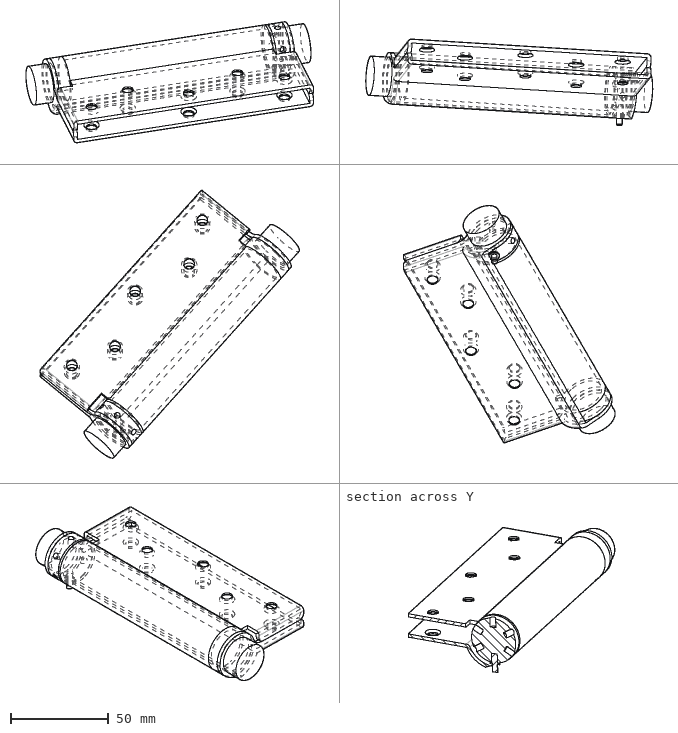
import cadquery as cq
import math


SHEET = 2.1
LEAF_HALF_LENGTH = 63.6
LEAF_REACH = 47.5
LEAF_OUTER_Z = 6.7
FLANGE_CORNER_RADIUS = 3.0
FLANGE_INNER_Y = LEAF_HALF_LENGTH - SHEET
LEAF_INNER_Z = LEAF_OUTER_Z - SHEET

BARREL_RADIUS = 12.5
BORE_RADIUS = BARREL_RADIUS - SHEET
TUBE_START_Y = -55.1
TUBE_END_Y = 52.6
RING_START_Y = 54.0

NOTCH_REACH = 15.5

LIP_OUTER_RADIUS = 16.5
LIP_INNER_RADIUS = LIP_OUTER_RADIUS - SHEET
LIP_TANGENT_ANGLE = math.radians(-115)
FLANGE_BLEND_RADIUS = 6.4

CAP_RADIUS = 10.1
CAP_HALF_SPAN = 74.1
DOME_HEIGHT = 1.3

RING_HOLE_COUNT = 6
RING_TURN = 2.6
PIN_INDEX = 3
PIN_RADIUS = 1.5
PIN_TIP_RADIUS = 17.6
HOLE_FLOOR_RADIUS = 7.4
PIN_COLLAR_RADIUS = 2.7
PIN_COLLAR_THICKNESS = 0.7
RING_MIDDLE_Y = (RING_START_Y + FLANGE_INNER_Y) / 2

SCREW_HOLE_DIAMETER = 5.5
SCREW_HOLE_RADIUS = SCREW_HOLE_DIAMETER / 2
SCREW_HOLE_LAND = 0.9
OUTER_HOLE_Y = 51.1
INNER_HOLE_Y = 29.0
OUTER_HOLE_X = 36.8
INNER_HOLE_X = 26.7
MIDDLE_HOLE_X = 38.1
SCREW_HOLES = [
    (OUTER_HOLE_X, OUTER_HOLE_Y),
    (INNER_HOLE_X, INNER_HOLE_Y),
    (MIDDLE_HOLE_X, 0),
    (INNER_HOLE_X, -INNER_HOLE_Y),
    (OUTER_HOLE_X, -OUTER_HOLE_Y),
]


def section(y_end):
    """XZ sketch plane at y_end; extruding from it runs toward -Y."""
    return cq.Workplane("XZ", origin=(0, y_end, 0))


def disc(radius, y_start, y_end):
    """Cylinder on the barrel axis."""
    return section(y_end).circle(radius).extrude(y_end - y_start)


def block(x_range, y_range, z_range):
    """Box spanning the given ranges."""
    (x0, x1), (y0, y1), (z0, z1) = x_range, y_range, z_range
    return cq.Workplane("XY").box(x1 - x0, y1 - y0, z1 - z0, centered=False).translate((x0, y0, z0))


def polar(radius, angle):
    """Point in XZ at the given distance and angle (radians) from the barrel axis."""
    return (radius * math.cos(angle), radius * math.sin(angle))


def drill_screw_holes(leaf, side):
    """Cut the countersunk holes; side is 1 for the leaf at +Z and -1 for the leaf at -Z."""
    countersink_depth = SHEET - SCREW_HOLE_LAND
    countersink_radius = SCREW_HOLE_RADIUS + countersink_depth
    drill = (
        cq.Workplane("XZ")
        .moveTo(0, side * LEAF_INNER_Z)
        .lineTo(countersink_radius, side * LEAF_INNER_Z)
        .lineTo(SCREW_HOLE_RADIUS, side * (LEAF_INNER_Z + countersink_depth))
        .lineTo(SCREW_HOLE_RADIUS, side * LEAF_OUTER_Z)
        .lineTo(0, side * LEAF_OUTER_Z)
        .close()
        .revolve(360, (0, 0, 0), (0, 1, 0))
    )
    for x, y in SCREW_HOLES:
        leaf = leaf.cut(drill.translate((x, y, 0)))
    return leaf


def lip_end_point(radius):
    """Point at the given radius on the sloped line that leaves the barrel circle at a tangent."""
    return polar(radius, LIP_TANGENT_ANGLE + math.acos(BARREL_RADIUS / radius))


LIP_ROOT_ANGLE = -math.asin(LEAF_OUTER_Z / LIP_OUTER_RADIUS)
LIP_ROOT = polar(LIP_OUTER_RADIUS, LIP_ROOT_ANGLE)
LIP_END_ANGLE = LIP_TANGENT_ANGLE + math.acos(BARREL_RADIUS / LIP_OUTER_RADIUS)
LIP_MIDDLE_ANGLE = (LIP_ROOT_ANGLE + LIP_END_ANGLE) / 2
LIP_OUTER_MIDDLE = polar(LIP_OUTER_RADIUS, LIP_MIDDLE_ANGLE)


def lower_sheet():
    """Flat plate and curved lip, one sheet bent around the corner at the lip root."""
    bend_start = polar(LIP_INNER_RADIUS, LIP_ROOT_ANGLE)
    bend_middle_angle = (math.pi / 2 + math.pi + LIP_ROOT_ANGLE) / 2
    bend_dx, bend_dz = polar(SHEET, bend_middle_angle)
    return (
        section(LEAF_HALF_LENGTH)
        .moveTo(*lip_end_point(LIP_OUTER_RADIUS))
        .threePointArc(LIP_OUTER_MIDDLE, LIP_ROOT)
        .lineTo(LEAF_REACH, -LEAF_OUTER_Z)
        .lineTo(LEAF_REACH, -LEAF_INNER_Z)
        .lineTo(LIP_ROOT[0], -LEAF_INNER_Z)
        .threePointArc((LIP_ROOT[0] + bend_dx, LIP_ROOT[1] + bend_dz), bend_start)
        .threePointArc(polar(LIP_INNER_RADIUS, LIP_MIDDLE_ANGLE), lip_end_point(LIP_INNER_RADIUS))
        .close()
        .extrude(2 * LEAF_HALF_LENGTH)
    )


def lower_flange(y_end):
    """End flange: an eye around the barrel end that blends into the leaf."""
    blend_distance = BARREL_RADIUS + FLANGE_BLEND_RADIUS
    blend_x = math.sqrt(blend_distance**2 - FLANGE_BLEND_RADIUS**2)
    eye_angle = math.atan2(FLANGE_BLEND_RADIUS, blend_x)
    blend_dx, blend_dz = polar(FLANGE_BLEND_RADIUS, (eye_angle - math.pi - math.pi / 2) / 2)
    eye_middle_angle = (eye_angle + LIP_TANGENT_ANGLE) / 2 + math.pi
    corner_drop = FLANGE_CORNER_RADIUS * (1 - math.sqrt(0.5))
    return (
        section(y_end)
        .moveTo(*polar(BARREL_RADIUS, LIP_TANGENT_ANGLE))
        .lineTo(*lip_end_point(LIP_OUTER_RADIUS))
        .threePointArc(LIP_OUTER_MIDDLE, LIP_ROOT)
        .lineTo(LEAF_REACH, -LEAF_OUTER_Z)
        .lineTo(LEAF_REACH, -FLANGE_CORNER_RADIUS)
        .threePointArc((LEAF_REACH - corner_drop, -corner_drop), (LEAF_REACH - FLANGE_CORNER_RADIUS, 0))
        .lineTo(blend_x, 0)
        .threePointArc((blend_x + blend_dx, FLANGE_BLEND_RADIUS + blend_dz), polar(BARREL_RADIUS, eye_angle))
        .threePointArc(polar(BARREL_RADIUS, eye_middle_angle), polar(BARREL_RADIUS, LIP_TANGENT_ANGLE))
        .close()
        .extrude(SHEET)
    )


def make_lower_leaf():
    leaf = lower_sheet()
    leaf = leaf.union(lower_flange(LEAF_HALF_LENGTH)).union(lower_flange(SHEET - LEAF_HALF_LENGTH))
    plate_middle_x = (LIP_ROOT[0] + LEAF_REACH) / 2
    for end in (-1, 1):
        y = end * LEAF_HALF_LENGTH
        plate_edge = cq.selectors.NearestToPointSelector((plate_middle_x, y, -LEAF_OUTER_Z))
        lip_edge = cq.selectors.NearestToPointSelector((LIP_OUTER_MIDDLE[0], y, LIP_OUTER_MIDDLE[1]))
        leaf = leaf.edges(plate_edge + lip_edge).fillet(SHEET)
    leaf = leaf.cut(disc(CAP_RADIUS, -LEAF_HALF_LENGTH, LEAF_HALF_LENGTH))
    return drill_screw_holes(leaf, -1)


def upper_flange(y_start):
    """Downturned end flange with two rounded lower corners."""
    flange = block((NOTCH_REACH, LEAF_REACH), (y_start, y_start + SHEET), (0, LEAF_OUTER_Z))
    return flange.edges("|Y and <Z").fillet(FLANGE_CORNER_RADIUS)


def make_upper_leaf():
    tube_joint_x = math.sqrt(BARREL_RADIUS**2 - LEAF_OUTER_Z**2)
    sheet_z = (LEAF_INNER_Z, LEAF_OUTER_Z)
    full_length = (-LEAF_HALF_LENGTH, LEAF_HALF_LENGTH)
    leaf = block((NOTCH_REACH, LEAF_REACH), full_length, sheet_z)
    leaf = leaf.union(upper_flange(FLANGE_INNER_Y)).union(upper_flange(-LEAF_HALF_LENGTH))
    leaf = leaf.faces(">Z").edges("<Y or >Y").fillet(SHEET)

    tongue = block((tube_joint_x, NOTCH_REACH), (TUBE_START_Y, TUBE_END_Y), sheet_z)
    tube = disc(BARREL_RADIUS, TUBE_START_Y, TUBE_END_Y)
    bore = disc(BORE_RADIUS, TUBE_START_Y, TUBE_END_Y)
    leaf = leaf.union(tongue).union(tube).cut(bore)
    return drill_screw_holes(leaf, 1)


def make_core():
    """Spindle inside the tube with a full-size shoulder at each end."""
    core = disc(BORE_RADIUS, TUBE_START_Y, TUBE_END_Y)
    lower_shoulder = disc(BARREL_RADIUS, -FLANGE_INNER_Y, TUBE_START_Y)
    upper_shoulder = disc(BARREL_RADIUS, TUBE_END_Y, RING_START_Y)
    return core.union(lower_shoulder).union(upper_shoulder)


def radial_rod(radius, start, end, index):
    """Rod at mid-width of the adjusting ring, pointing outward at the given hole position."""
    rod = cq.Workplane("XY", origin=(0, RING_MIDDLE_Y, start)).circle(radius).extrude(end - start)
    turn = 360 / RING_HOLE_COUNT * index + RING_TURN
    return rod.rotate((0, 0, 0), (0, 1, 0), turn)


def make_adjusting_ring():
    ring = disc(BARREL_RADIUS, RING_START_Y, FLANGE_INNER_Y)
    for index in range(RING_HOLE_COUNT):
        ring = ring.cut(radial_rod(PIN_RADIUS, HOLE_FLOOR_RADIUS, PIN_TIP_RADIUS, index))
    return ring


def make_pin():
    """Adjusting pin with a thin collar that rests on the ring."""
    stem = radial_rod(PIN_RADIUS, HOLE_FLOOR_RADIUS, PIN_TIP_RADIUS, PIN_INDEX)
    collar_end = BARREL_RADIUS + PIN_COLLAR_THICKNESS
    return stem.union(radial_rod(PIN_COLLAR_RADIUS, BARREL_RADIUS, collar_end, PIN_INDEX))


def make_cap(end):
    """Domed plug through the flange; end is 1 for the +Y end and -1 for the -Y end."""
    dome_radius = (CAP_RADIUS**2 + DOME_HEIGHT**2) / (2 * DOME_HEIGHT)
    dome_centre_y = CAP_HALF_SPAN - dome_radius
    half_x = CAP_RADIUS / 2
    half_y = dome_centre_y + math.sqrt(dome_radius**2 - half_x**2)
    profile = (
        cq.Workplane("XY")
        .moveTo(0, end * FLANGE_INNER_Y)
        .lineTo(CAP_RADIUS, end * FLANGE_INNER_Y)
        .lineTo(CAP_RADIUS, end * (CAP_HALF_SPAN - DOME_HEIGHT))
        .threePointArc((half_x, end * half_y), (0, end * CAP_HALF_SPAN))
        .close()
    )
    return profile.revolve(360, (0, 0, 0), (0, 1, 0))


upper_leaf = make_upper_leaf()
lower_leaf = make_lower_leaf()
core = make_core()
adjusting_ring = make_adjusting_ring()
pin = make_pin()
caps = [make_cap(end) for end in (-1, 1)]

result = cq.Compound.makeCompound([
    upper_leaf.val(),
    lower_leaf.val(),
    core.val(),
    adjusting_ring.val(),
    pin.val(),
    *[cap.val() for cap in caps],
])